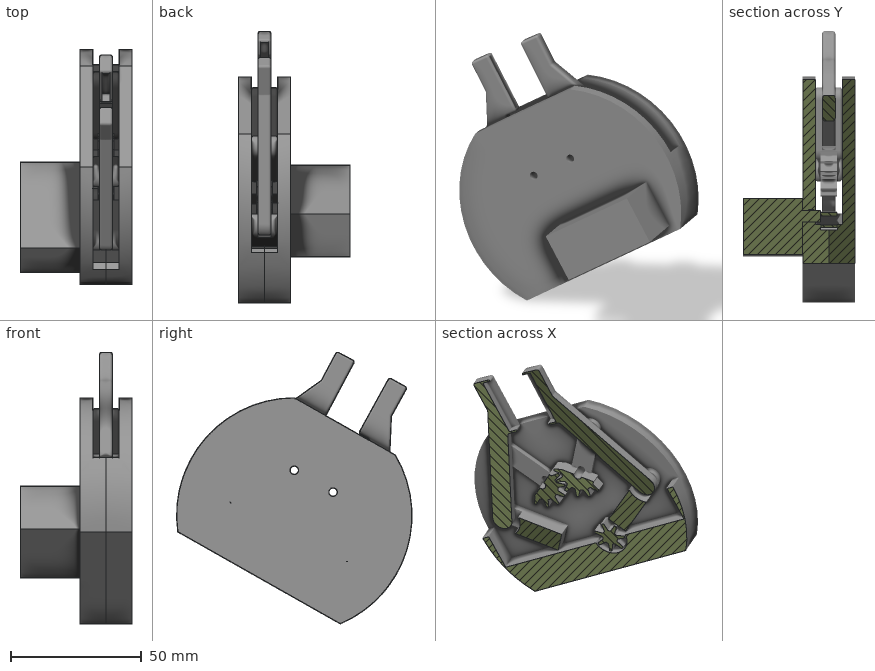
import cadquery as cq
import math

LEAN = 29.5

HOUSING_DIA = 90.0
HOUSING_WIDTH = 20.0
PLATE_THICK = 5.0
TOP_FLAT = 39.1
BOTTOM_FLAT = -27.4
GAP = HOUSING_WIDTH - 2 * PLATE_THICK
RECESS_HALF_LENGTH = 42.0
RECESS_DEPTH = 14.2

PIVOT_U = 8.5
PIVOT_V = 15.0
PIVOT_DIA = 3.1

SERVO_LENGTH = 37.8
SERVO_HEIGHT = 18.9
SERVO_DEPTH = 22.7
SERVO_CENTER = (13.6, -14.9)
HUB_RADIUS = 5.1
HUB_CENTER = (7.5, -13.7)

GEAR_THICK = 6.2
GEAR_TEETH = 12
PINION_TEETH = 7
GEAR_MODULE = 2 * PIVOT_U / GEAR_TEETH
PINION_PITCH_RADIUS = GEAR_MODULE * PINION_TEETH / 2
TOOTH_ROOT_DEPTH = 1.25
TOOTH_ROOT_SHARE = 0.32
TOOTH_TIP_SHARE = 0.1
GEAR_CLEARANCE = 0.5

BAR_RADIUS = 4.0
UPPER_LINK_LENGTH = 19.8
LOWER_LINK_LENGTH = 24.2
LINK_FILLET = 0.9

FINGER_THICK = 5.0
FINGER_FILLET = 0.9
SHANK_LENGTH = 29.8
SHANK_SPLAY = 26.4
TIP_INNER = -13.1
TIP_WIDTH = 7.9
TIP_TOP = 32.1
TIP_BOTTOM = 7.8
GROOVE_DEPTH = 3.5
SLOT_RADIUS = 7.3

UPPER_ANGLE = {1: 50.5, -1: 57.8}
LOWER_ANGLE = {1: 32.0, -1: 40.0}
FINGER_TILT = {1: -1.5, -1: 0.7}

COS_LEAN = math.cos(math.radians(LEAN))
SIN_LEAN = math.sin(math.radians(LEAN))


def sheet(x=0.0):
    """Workplane on the (u, v) plane at the given X; extrusions run toward -X."""
    return cq.Workplane(cq.Plane(origin=(x, 0, 0), xDir=(0, -COS_LEAN, SIN_LEAN), normal=(-1, 0, 0)))


def polar(angle, length):
    radians = math.radians(angle)
    return length * math.cos(radians), length * math.sin(radians)


def shifted(point, offset):
    return point[0] + offset[0], point[1] + offset[1]


def mirrored(points, side):
    return [(side * u, v) for u, v in points]


def bar(start, end, width):
    """Round-ended bar between two points, centred on X = 0."""
    du, dv = end[0] - start[0], end[1] - start[1]
    length = math.hypot(du, dv)
    middle = (start[0] + du / 2, start[1] + dv / 2)
    outline = sheet().center(*middle).slot2D(length + 2 * BAR_RADIUS, 2 * BAR_RADIUS,
                                             math.degrees(math.atan2(dv, du)))
    return outline.extrude(width / 2, both=True)


def toothed_wheel(center, teeth, first_angle):
    """Spur gear with straight-flanked teeth, one tooth centred on first_angle."""
    pitch_radius = GEAR_MODULE * teeth / 2
    root_radius = pitch_radius - TOOTH_ROOT_DEPTH * GEAR_MODULE
    tip_radius = pitch_radius + GEAR_MODULE
    pitch_angle = 360 / teeth
    root_half = TOOTH_ROOT_SHARE * pitch_angle
    tip_half = TOOTH_TIP_SHARE * pitch_angle
    points = []
    for tooth in range(teeth):
        middle = first_angle + tooth * pitch_angle
        for radius, angle in ((root_radius, -root_half), (tip_radius, -tip_half),
                              (tip_radius, tip_half), (root_radius, root_half)):
            points.append(shifted(center, polar(middle + angle, radius)))
    return sheet().polyline(points).close().extrude(GEAR_THICK / 2, both=True)


def pivot(side):
    return side * PIVOT_U, PIVOT_V


def upper_joint(side):
    du, dv = polar(UPPER_ANGLE[side], UPPER_LINK_LENGTH)
    return shifted(pivot(side), (side * du, dv))


def lower_joint(side):
    du, dv = polar(-90 + SHANK_SPLAY + FINGER_TILT[side], SHANK_LENGTH)
    return shifted(upper_joint(side), (side * du, dv))


def make_housing():
    """Both halves together, before they are split at X = 0."""
    radius = HOUSING_DIA / 2
    body = sheet().circle(radius).extrude(HOUSING_WIDTH / 2, both=True)
    flats = (
        sheet().center(0, (TOP_FLAT + BOTTOM_FLAT) / 2)
        .rect(HOUSING_DIA, TOP_FLAT - BOTTOM_FLAT).extrude(HOUSING_WIDTH / 2, both=True)
    )
    opening = sheet().center(0, radius / 2).rect(2 * radius, radius).extrude(GAP / 2, both=True)
    recess = (
        sheet().center(0, -RECESS_DEPTH / 2)
        .rect(2 * RECESS_HALF_LENGTH, RECESS_DEPTH).extrude(GAP / 2, both=True)
    )
    pivot_holes = (
        sheet().pushPoints([pivot(1), pivot(-1)])
        .circle(PIVOT_DIA / 2).extrude(HOUSING_WIDTH / 2, both=True)
    )
    pinion_pocket = (
        sheet().center(*HUB_CENTER)
        .circle(PINION_PITCH_RADIUS + GEAR_MODULE + GEAR_CLEARANCE).extrude(GEAR_THICK / 2, both=True)
    )
    hub_hole = sheet().center(*HUB_CENTER).circle(HUB_RADIUS).extrude(HOUSING_WIDTH / 2)
    return (
        body.intersect(flats).cut(opening).cut(recess)
        .cut(pivot_holes).cut(pinion_pocket).cut(hub_hole)
    )


def make_housing_half(side):
    """Half of the housing: side +1 toward +X, side -1 toward -X."""
    half = sheet().rect(2 * HOUSING_DIA, 2 * HOUSING_DIA).extrude(-side * HOUSING_WIDTH / 2)
    return make_housing().intersect(half)


def make_servo():
    block = (
        sheet(-HOUSING_WIDTH / 2).center(*SERVO_CENTER)
        .rect(SERVO_LENGTH, SERVO_HEIGHT).extrude(SERVO_DEPTH)
    )
    hub_length = (HOUSING_WIDTH - GEAR_THICK) / 2
    hub = sheet(-GEAR_THICK / 2).center(*HUB_CENTER).circle(HUB_RADIUS).extrude(hub_length)
    return block.union(hub)


def make_pinion():
    return toothed_wheel(HUB_CENTER, PINION_TEETH, 90)


def make_upper_link(side):
    """Two bars around the finger, joined by a half gear on the pivot."""
    bars = bar(pivot(side), upper_joint(side), GAP).faces("<X or >X").edges().fillet(LINK_FILLET)
    slot = sheet().rect(2 * HOUSING_DIA, 2 * HOUSING_DIA).extrude(FINGER_THICK / 2, both=True)
    bars = bars.cut(slot)
    first_angle = 180 if side == 1 else 180 / GEAR_TEETH
    wheel = toothed_wheel(pivot(side), GEAR_TEETH, first_angle)
    arm_side = (
        sheet().center(*pivot(side)).transformed(rotate=(0, 0, side * UPPER_ANGLE[side]))
        .center(side * 2 * PIVOT_U, 0).rect(4 * PIVOT_U, 4 * PIVOT_U).extrude(GEAR_THICK / 2, both=True)
    )
    gear = wheel.cut(arm_side)
    bore = sheet().center(*pivot(side)).circle(PIVOT_DIA / 2).extrude(GAP / 2, both=True)
    return bars.union(gear).cut(bore)


def make_lower_link(side):
    """Solid bar, round and forked at the finger joint, square at the other end."""
    joint = lower_joint(side)
    du, dv = polar(180 + LOWER_ANGLE[side], LOWER_LINK_LENGTH)
    square_end = shifted(joint, (side * du, dv))
    link = bar(joint, square_end, GAP)
    cutter = (
        sheet().center(*square_end).transformed(rotate=(0, 0, side * LOWER_ANGLE[side]))
        .center(-side * BAR_RADIUS, 0).rect(2 * BAR_RADIUS, 3 * BAR_RADIUS).extrude(GAP / 2, both=True)
    )
    fork = sheet().center(*joint).circle(SLOT_RADIUS).extrude(FINGER_THICK / 2, both=True)
    return link.cut(cutter).cut(fork)


def make_finger(side):
    """Grooved gripping tip on a splayed shank, outer edges rounded."""
    along = polar(-90 + SHANK_SPLAY, 1)
    out = polar(SHANK_SPLAY, 1)
    tip_outer = TIP_INNER + TIP_WIDTH
    bend_v = (BAR_RADIUS - tip_outer * out[0]) / out[1]
    ledge_u = (-BAR_RADIUS - TIP_BOTTOM * out[1]) / out[0]
    joint = polar(-90 + SHANK_SPLAY, SHANK_LENGTH)
    end_outer = shifted(joint, (BAR_RADIUS * out[0], BAR_RADIUS * out[1]))
    end_middle = shifted(joint, (BAR_RADIUS * along[0], BAR_RADIUS * along[1]))
    end_inner = shifted(joint, (-BAR_RADIUS * out[0], -BAR_RADIUS * out[1]))
    points = mirrored(
        [(TIP_INNER, TIP_BOTTOM), (TIP_INNER, TIP_TOP), (tip_outer, TIP_TOP), (tip_outer, bend_v),
         end_outer, end_middle, end_inner, (ledge_u, TIP_BOTTOM)], side)
    frame = sheet().center(*upper_joint(side)).transformed(rotate=(0, 0, side * FINGER_TILT[side]))
    outline = frame.moveTo(*points[0])
    for point in points[1:5]:
        outline = outline.lineTo(*point)
    outline = outline.threePointArc(points[5], points[6]).lineTo(*points[7]).close()
    body = outline.extrude(FINGER_THICK / 2, both=True).edges().fillet(FINGER_FILLET)
    groove_length = TIP_TOP - TIP_BOTTOM - 2 * FINGER_FILLET
    groove = (
        frame.moveTo(side * TIP_INNER, (TIP_TOP + TIP_BOTTOM) / 2)
        .rect(2 * GROOVE_DEPTH, groove_length).extrude(FINGER_THICK / 2 - FINGER_FILLET, both=True)
    )
    return body.cut(groove)


bodies = [make_servo(), make_pinion()]
for side in (1, -1):
    bodies.append(make_housing_half(side))
    bodies.append(make_upper_link(side))
    bodies.append(make_lower_link(side))
    bodies.append(make_finger(side))

result = cq.Compound.makeCompound([body.val() for body in bodies])